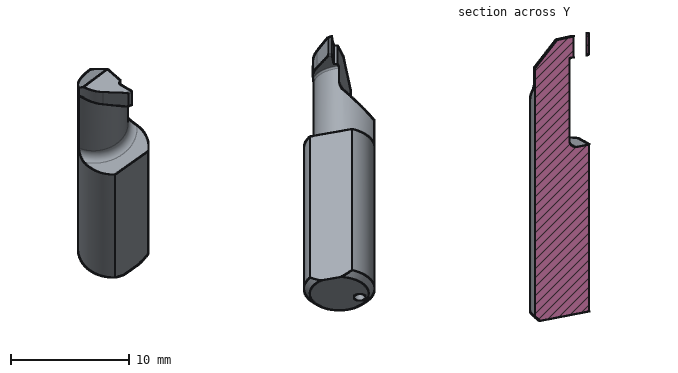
import cadquery as cq
import math

radius = 3.0
length = 25.0
flat_x = 2.35
base_chamfer = 0.5

neck_radius = 2.96
neck_axis_x = -2.55
shoulder_z = 15.0
shoulder_fillet = 0.75
head_height = 2.0
head_fillet = 0.15

tip_x = flat_x
tip_y = 0.06
land_end = (2.27, -0.27)
flank_end = (0.70, -1.76)
corner_radius = 0.15
clearance_x = math.tan(math.radians(1.5))
clearance_y = math.tan(math.radians(3.0))
back_bevel_x = -0.86
back_bevel_slope = 1.0

rake_y = 0.11
runout_radius = 1.5
runout_angle = math.radians(42.0)
runout_top_z = 21.6
groove_start_x = 0.785
groove_floor_x = 0.92
groove_end_x = 1.22
groove_floor_y = -0.16

hole_diameter = 1.0
hole_x = -1.03
hole_y = 1.5

blank_length = length + 1.0
reach = 4 * radius
head_base_z = length - head_height
crest_x = tip_x - corner_radius
trim_z = head_base_z - 2 * head_fillet


def space_above(origin, slope_x, slope_y):
    """Large block above the plane through origin rising by the given X and Y slopes."""
    normal = (-slope_x, -slope_y, 1.0)
    plane = cq.Plane(origin=origin, xDir=(1.0, 0.0, slope_x), normal=normal)
    return cq.Workplane(plane).rect(2 * reach, 2 * reach).extrude(reach)


def shank():
    """Chamfered round bar with the flat cut along its full length."""
    body = cq.Workplane("XY").circle(radius).extrude(blank_length)
    body = body.faces("<Z").chamfer(base_chamfer)
    beyond_flat = cq.Workplane("XY", origin=(flat_x, 0, 0)).box(
        reach, reach, blank_length, centered=(False, True, False)
    )
    return body.cut(beyond_flat)


def neck_cutter():
    """Ring around the neck axis, closed above by the sloping underside of the head."""
    ring = (
        cq.Workplane("XY", origin=(neck_axis_x, 0, shoulder_z))
        .circle(reach)
        .circle(neck_radius)
        .extrude(blank_length - shoulder_z)
        .cut(space_above((crest_x, tip_y, head_base_z), -clearance_x, -clearance_y))
    )
    box_half = (neck_radius + reach) / 2
    inner_edges = cq.selectors.BoxSelector(
        (neck_axis_x - box_half, -box_half, 0),
        (neck_axis_x + box_half, box_half, length),
        boundingbox=True,
    )
    ring = ring.edges(inner_edges).edges("<Z").fillet(shoulder_fillet)
    return ring.edges(inner_edges).edges(">Z").fillet(head_fillet)


def head_outline_cutter():
    """Everything outside the head outline, on the clearance side of the tip."""
    heel_x = (radius**2 - neck_radius**2 + neck_axis_x**2) / (2 * neck_axis_x)
    heel_y = -math.sqrt(radius**2 - heel_x**2)
    return (
        cq.Workplane("XY", origin=(0, 0, trim_z))
        .moveTo(tip_x, tip_y)
        .lineTo(*land_end)
        .lineTo(*flank_end)
        .tangentArcPoint((heel_x, heel_y), relative=False)
        .lineTo(heel_x, -reach)
        .lineTo(reach, -reach)
        .lineTo(reach, tip_y)
        .close()
        .extrude(blank_length - trim_z)
    )


def rake_cutter():
    """Material behind the rake face, running out through an arc and a straight slope."""
    mid_angle = runout_angle / 2

    def arc_point(angle):
        y = rake_y + runout_radius * (1 - math.cos(angle))
        z = runout_top_z - runout_radius * math.sin(angle)
        return y, z

    arc_end_y, arc_end_z = arc_point(runout_angle)
    slope_end_z = arc_end_z - (reach - arc_end_y) / math.tan(runout_angle)
    return (
        cq.Workplane("YZ", origin=(-reach, 0, 0))
        .moveTo(rake_y, blank_length)
        .lineTo(rake_y, runout_top_z)
        .threePointArc(arc_point(mid_angle), (arc_end_y, arc_end_z))
        .lineTo(reach, slope_end_z)
        .lineTo(reach, blank_length)
        .close()
        .extrude(2 * reach)
    )


def chip_groove():
    """Shallow hollow in the rake face that rises again to the cutting tip."""
    return (
        cq.Workplane("XY", origin=(0, 0, trim_z))
        .moveTo(groove_start_x, rake_y)
        .lineTo(groove_floor_x, groove_floor_y)
        .lineTo(groove_end_x, groove_floor_y)
        .lineTo(tip_x, tip_y)
        .lineTo(tip_x, rake_y)
        .close()
        .extrude(blank_length - trim_z)
    )


def round_tip_corners(body):
    """Round the upper and lower edges of the narrow land behind the cutting tip."""
    land_edges = cq.selectors.BoxSelector(
        (land_end[0] - corner_radius / 2, land_end[1] - corner_radius / 2, trim_z),
        (tip_x + corner_radius, tip_y + corner_radius, length + corner_radius),
        boundingbox=True,
    )
    return body.edges(land_edges).edges("not |Z").fillet(corner_radius)


def coolant_hole():
    """Straight through hole."""
    return cq.Workplane("XY").center(hole_x, hole_y).circle(hole_diameter / 2).extrude(blank_length)


back_bevel_z = length - (crest_x - back_bevel_x) * clearance_x
top_clearance = space_above((crest_x, tip_y, length), clearance_x, clearance_y)
back_bevel = space_above((back_bevel_x, tip_y, back_bevel_z), back_bevel_slope, clearance_y)

tool = (
    shank()
    .cut(neck_cutter())
    .cut(head_outline_cutter())
    .cut(rake_cutter())
    .cut(chip_groove())
    .cut(top_clearance)
    .cut(back_bevel)
    .cut(coolant_hole())
)
result = round_tip_corners(tool)